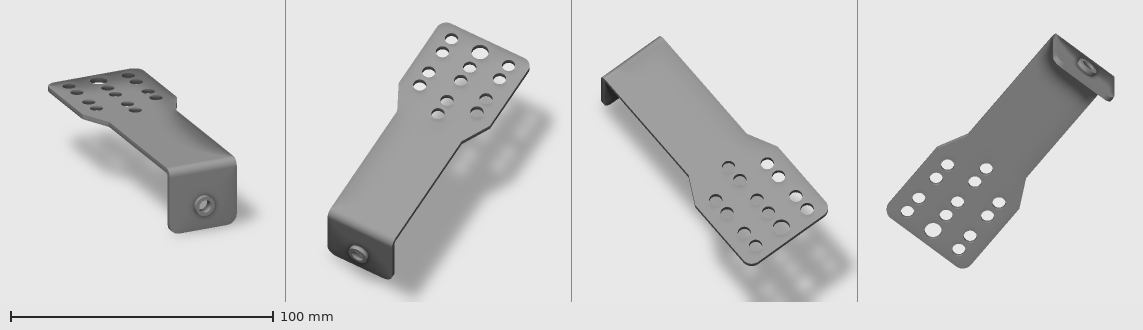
import cadquery as cq

thickness = 2.0
plate_length = 99.0
head_width = 40.0
neck_width = 28.3
flange_height = 26.6
head_length = 33.6
taper_end = 45.1
corner_radius = 4.0
inner_bend_radius = 1.0
outer_bend_radius = inner_bend_radius + thickness

hole_diameter = 5.0
large_hole_diameter = 6.6
first_hole_x = 6.0
pair_pitch = 7.0
pair_spacing = 17.6
row_spacing = 12.5
middle_row_offset = 8.0

boss_diameter = 8.0
boss_height = 1.8
lip_diameter = 5.4
lip_height = 0.1
boss_drop = 16.5


def bent_strip():
    """Neck-wide strip and flange joined by the rounded bend."""
    profile = [
        (head_length, 0),
        (plate_length, 0),
        (plate_length, -flange_height),
        (plate_length - thickness, -flange_height),
        (plate_length - thickness, -thickness),
        (head_length, -thickness),
    ]
    strip = cq.Workplane("XZ").polyline(profile).close().extrude(neck_width / 2, both=True)
    strip = strip.faces(">X").edges(">Z").fillet(outer_bend_radius)
    inner_corner = cq.selectors.NearestToPointSelector((plate_length - thickness, 0, -thickness))
    strip = strip.edges("|Y").edges(inner_corner).fillet(inner_bend_radius)
    return strip.faces("<Z").edges("|X").fillet(corner_radius)


def head():
    """Wide end of the plate, tapering down to the neck."""
    outline = [
        (0, -head_width / 2),
        (head_length, -head_width / 2),
        (taper_end, -neck_width / 2),
        (taper_end, neck_width / 2),
        (head_length, head_width / 2),
        (0, head_width / 2),
    ]
    plate = cq.Workplane("XY").polyline(outline).close().extrude(-thickness)
    return plate.edges("|Z and <X").fillet(corner_radius)


def row_points(start_x, y):
    """Two pairs of hole centres along X."""
    return [
        (start_x + pair * pair_spacing + hole * pair_pitch, y)
        for pair in range(2)
        for hole in range(2)
    ]


def plate_holes():
    """Cutters for the three rows of holes and the large hole."""
    points = row_points(first_hole_x + middle_row_offset, 0)
    for side in (-1, 1):
        points += row_points(first_hole_x, side * row_spacing)
    small = cq.Workplane("XY").pushPoints(points).circle(hole_diameter / 2).extrude(-thickness)
    large = cq.Workplane("XY").center(first_hole_x, 0).circle(large_hole_diameter / 2).extrude(-thickness)
    return small.union(large)


def flange_cylinder(diameter, start_x, length):
    """Cylinder along X on the boss axis."""
    plane = cq.Workplane("YZ", origin=(start_x, 0, -boss_drop))
    return plane.circle(diameter / 2).extrude(length)


boss = flange_cylinder(boss_diameter, plate_length, boss_height)
lip = flange_cylinder(lip_diameter, plate_length + boss_height, lip_height)
boss_hole_length = thickness + boss_height + lip_height
boss_hole = flange_cylinder(hole_diameter, plate_length - thickness, boss_hole_length)

result = bent_strip().union(head()).union(boss).union(lip).cut(plate_holes()).cut(boss_hole)